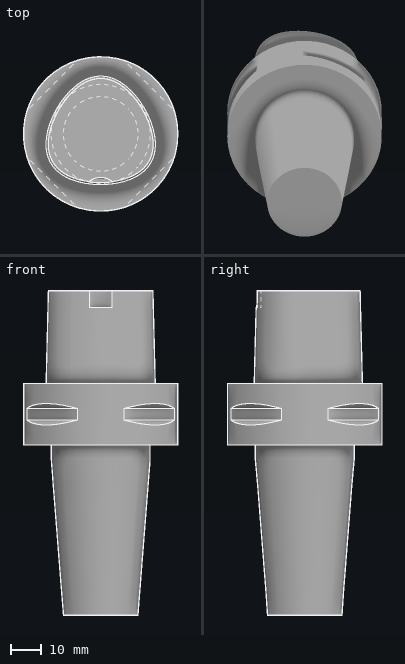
import cadquery as cq
import math

total_height = 105.0
shank_height = 30.0
flange_height = 20.0
neck_height = 4.8
flange_top = total_height - shank_height
flange_bottom = flange_top - flange_height
neck_bottom = flange_bottom - neck_height

flange_diameter = 50.0
neck_diameter = 32.0
nose_diameter = 24.2

shank_base_radius = 17.5
lobe_height = 1.2
taper_ratio = 20.0
shank_top_radius = shank_base_radius - shank_height / taper_ratio / 2
shank_side_count = 6
points_per_side = 9

groove_floor_distance = 22.2
groove_floor_height = 3.7
groove_wall_angle = 30.0
groove_count = 4
groove_center_z = (flange_top + flange_bottom) / 2

notch_diameter = 12.0
notch_width = 7.4
notch_depth = 5.5
notch_back_y = -14.1


def make_round_body():
    """Tapered nose, neck and flange, revolved about Z."""
    profile = (
        cq.Workplane("XZ")
        .lineTo(nose_diameter / 2, 0)
        .lineTo(neck_diameter / 2, neck_bottom)
        .lineTo(neck_diameter / 2, flange_bottom)
        .lineTo(flange_diameter / 2, flange_bottom)
        .lineTo(flange_diameter / 2, flange_top)
        .lineTo(0, flange_top)
        .close()
    )
    return profile.revolve(360, (0, 0, 0), (0, 1, 0))


def trochoid_point(mean_radius, angle, z):
    """Point on the three-lobed outline; angle 0 is the lobe on +Y."""
    x = -mean_radius * math.sin(angle) + lobe_height * math.sin(2 * angle)
    y = mean_radius * math.cos(angle) + lobe_height * math.cos(2 * angle)
    return cq.Vector(x, y, z)


def make_shank_outline(mean_radius, z):
    """Closed outline of six curves, alternating lobes and shallow sides."""
    side_angle = 2 * math.pi / shank_side_count
    edges = []
    for side in range(shank_side_count):
        start_angle = (side - 0.5) * side_angle
        step = side_angle / (points_per_side - 1)
        points = [
            trochoid_point(mean_radius, start_angle + index * step, z)
            for index in range(points_per_side)
        ]
        edges.append(cq.Edge.makeSpline(points))
    return cq.Wire.assembleEdges(edges)


def make_shank():
    base = make_shank_outline(shank_base_radius, flange_top)
    top = make_shank_outline(shank_top_radius, total_height)
    return cq.Workplane(cq.Solid.makeLoft([base, top], True))


def make_groove_cutter():
    """Straight groove with sloping walls, open towards +X."""
    outer_x = flange_diameter / 2 + 1
    floor_half = groove_floor_height / 2
    wall_run = outer_x - groove_floor_distance
    mouth_half = floor_half + wall_run * math.tan(math.radians(groove_wall_angle))
    return (
        cq.Workplane("XZ", origin=(0, 0, groove_center_z))
        .moveTo(groove_floor_distance, -floor_half)
        .lineTo(outer_x, -mouth_half)
        .lineTo(outer_x, mouth_half)
        .lineTo(groove_floor_distance, floor_half)
        .close()
        .extrude(flange_diameter / 2, both=True)
    )


def make_notch_cutter():
    """Slot with parallel sides and a round back, open upwards and towards -Y."""
    center_y = notch_back_y - notch_diameter / 2
    floor = cq.Workplane("XY", origin=(0, center_y, total_height - notch_depth))
    round_cutter = floor.circle(notch_diameter / 2).extrude(notch_depth)
    side_limits = floor.rect(notch_width, notch_diameter).extrude(notch_depth)
    return round_cutter.intersect(side_limits)


result = make_round_body().union(make_shank())

groove_cutter = make_groove_cutter()
groove_spacing = 360 / groove_count
for groove in range(groove_count):
    groove_angle = (groove + 0.5) * groove_spacing
    result = result.cut(groove_cutter.rotate((0, 0, 0), (0, 0, 1), groove_angle))

result = result.cut(make_notch_cutter())